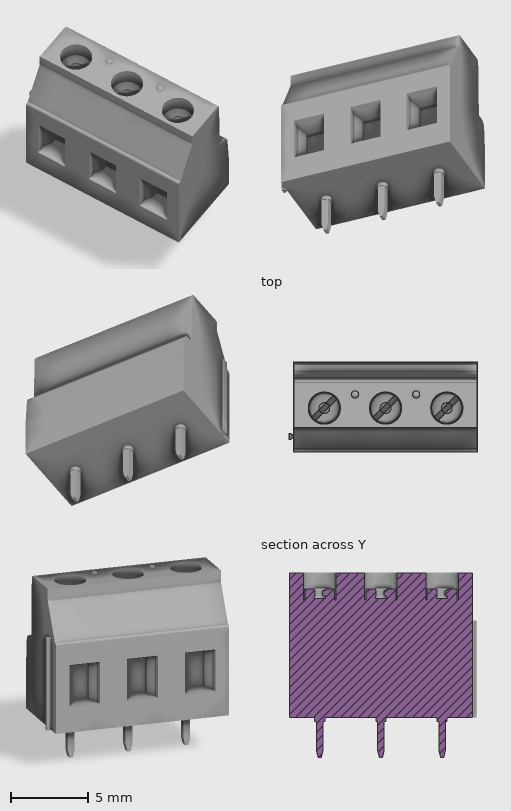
import cadquery as cq

POLES = 3
PITCH = 3.96
LENGTH = POLES * PITCH
POLE_Y = 2.85
pole_positions = [(i + 0.5) * PITCH for i in range(POLES)]
pole_borders = [i * PITCH for i in range(1, POLES)]

DEPTH = 5.82
HEIGHT = 9.37
FRONT_LEDGE_Y = 0.2
FRONT_LEDGE_Z = 6.15
FRONT_FILLET = 0.17
TOP_FRONT_Y = 1.58
TOP_FRONT_Z = 8.57
TOP_BACK_Y = 4.67
TOP_BACK_FILLET = 0.18
BACK_STEP_Y = 4.79
BACK_STEP_Z = 5.11
BACK_SHOULDER_Y = 5.625
BACK_SHOULDER_FILLET = 0.43
BACK_DRAFT_START_Z = 2.7

RIB_PROJECTION = 0.3
RIB_WIDTH = 0.38
RIB_NECK_WIDTH = 0.16
RIB_NECK_LENGTH = 0.075
RIB_FLARE = (RIB_WIDTH - RIB_NECK_WIDTH) / 2
RIB_HEIGHT = 6.26
RIB_Y = 1.02

ENTRY_WIDTH = 2.12
ENTRY_FLOOR_Z = 1.71
ENTRY_TOP_Z = 4.58
ENTRY_INNER_TOP_Z = 4.13
ENTRY_MOUTH_DEPTH = 0.58
ENTRY_BEND_DEPTH = 0.71
ENTRY_BEND_INSET = 0.11
ENTRY_THROAT_DEPTH = 1.14
ENTRY_THROAT_INSET = 0.35
ENTRY_SLOPE_DEPTH = 1.2
ENTRY_DEPTH = 1.5

WELL_DIAMETER = 2.08
WELL_DEPTH = 1.03
HEAD_DIAMETER = 1.97
HEAD_HEIGHT = 0.7
SLOT_WIDTH = 0.34
SLOT_DEPTH = 0.5
SLOT_ANGLE = 45
HEAD_DIMPLE_DIAMETER = 0.7
HEAD_DIMPLE_DEPTH = 0.1

DOME_RADIUS = 0.25
DOME_HEIGHT = 0.15
DOME_Y = 3.73

COLLAR_DIAMETER = 0.7
COLLAR_HEIGHT = 0.26
PIN_WIDTH_X = 0.46
PIN_WIDTH_Y = 0.5
PIN_LENGTH = 2.6
PIN_TAPER_LENGTH = 0.5
PIN_TIP_WIDTH = 0.22


def make_housing():
    """Side profile extruded along the row, with its long edges rounded."""
    body = (
        cq.Workplane("YZ")
        .moveTo(0, 0)
        .lineTo(0, FRONT_LEDGE_Z)
        .lineTo(FRONT_LEDGE_Y, FRONT_LEDGE_Z)
        .lineTo(TOP_FRONT_Y, TOP_FRONT_Z)
        .lineTo(TOP_FRONT_Y, HEIGHT)
        .lineTo(TOP_BACK_Y, HEIGHT)
        .lineTo(BACK_STEP_Y, BACK_STEP_Z)
        .lineTo(BACK_SHOULDER_Y, BACK_STEP_Z)
        .lineTo(DEPTH, BACK_DRAFT_START_Z)
        .lineTo(DEPTH, 0)
        .close()
        .extrude(LENGTH)
    )
    rounded_edges = (
        (0, FRONT_LEDGE_Z, FRONT_FILLET),
        (TOP_BACK_Y, HEIGHT, TOP_BACK_FILLET),
        (BACK_SHOULDER_Y, BACK_STEP_Z, BACK_SHOULDER_FILLET),
    )
    for y, z, radius in rounded_edges:
        edge = cq.selectors.NearestToPointSelector((LENGTH / 2, y, z))
        body = body.edges("|X").edges(edge).fillet(radius)
    return body


def make_rib():
    """Dovetail rib standing out from the X = 0 end face."""
    half_neck = RIB_NECK_WIDTH / 2
    half_width = RIB_WIDTH / 2
    flare_end = RIB_NECK_LENGTH + RIB_FLARE
    return (
        cq.Workplane("XY")
        .moveTo(0, RIB_Y - half_neck)
        .lineTo(-RIB_NECK_LENGTH, RIB_Y - half_neck)
        .lineTo(-flare_end, RIB_Y - half_width)
        .lineTo(-RIB_PROJECTION, RIB_Y - half_width)
        .lineTo(-RIB_PROJECTION, RIB_Y + half_width)
        .lineTo(-flare_end, RIB_Y + half_width)
        .lineTo(-RIB_NECK_LENGTH, RIB_Y + half_neck)
        .lineTo(0, RIB_Y + half_neck)
        .close()
        .extrude(RIB_HEIGHT)
    )


def make_wire_entry(x):
    """Funnel-shaped cavity: the side walls and the ceiling close in with depth."""
    half_mouth = ENTRY_WIDTH / 2
    half_bend = half_mouth - ENTRY_BEND_INSET
    half_throat = half_mouth - ENTRY_THROAT_INSET
    plan = (
        cq.Workplane("XY", origin=(x, 0, 0))
        .moveTo(-half_mouth, 0)
        .lineTo(-half_mouth, ENTRY_MOUTH_DEPTH)
        .lineTo(-half_bend, ENTRY_BEND_DEPTH)
        .lineTo(-half_throat, ENTRY_THROAT_DEPTH)
        .lineTo(-half_throat, ENTRY_DEPTH)
        .lineTo(half_throat, ENTRY_DEPTH)
        .lineTo(half_throat, ENTRY_THROAT_DEPTH)
        .lineTo(half_bend, ENTRY_BEND_DEPTH)
        .lineTo(half_mouth, ENTRY_MOUTH_DEPTH)
        .lineTo(half_mouth, 0)
        .close()
        .extrude(HEIGHT)
    )
    side = (
        cq.Workplane("YZ", origin=(x - half_mouth, 0, 0))
        .moveTo(0, ENTRY_FLOOR_Z)
        .lineTo(0, ENTRY_TOP_Z)
        .lineTo(ENTRY_SLOPE_DEPTH, ENTRY_INNER_TOP_Z)
        .lineTo(ENTRY_DEPTH, ENTRY_INNER_TOP_Z)
        .lineTo(ENTRY_DEPTH, ENTRY_FLOOR_Z)
        .close()
        .extrude(ENTRY_WIDTH)
    )
    return plan.intersect(side)


def make_screw_well(x):
    """Round well, leaving a slotted screw head, dimpled on its top and in its slot."""
    head_top = HEIGHT - WELL_DEPTH
    head_base = head_top - HEAD_HEIGHT
    well = (
        cq.Workplane("XY", origin=(x, POLE_Y, head_base))
        .circle(WELL_DIAMETER / 2)
        .extrude(HEIGHT - head_base)
    )
    head = (
        cq.Workplane("XY", origin=(x, POLE_Y, head_base))
        .circle(HEAD_DIAMETER / 2)
        .extrude(HEAD_HEIGHT)
    )
    slot = (
        cq.Workplane("XY", origin=(x, POLE_Y, head_top - SLOT_DEPTH))
        .transformed(rotate=(0, 0, SLOT_ANGLE))
        .rect(WELL_DIAMETER, SLOT_WIDTH)
        .extrude(SLOT_DEPTH)
    )
    head = head.cut(slot)
    for floor_z in (head_top, head_top - SLOT_DEPTH):
        dimple = (
            cq.Workplane("XY", origin=(x, POLE_Y, floor_z))
            .circle(HEAD_DIMPLE_DIAMETER / 2)
            .extrude(-HEAD_DIMPLE_DEPTH)
        )
        head = head.cut(dimple)
    return well.cut(head)


def make_dome(x):
    """Ball sunk into the top face so that only its cap stands out."""
    ball_z = HEIGHT + DOME_HEIGHT - DOME_RADIUS
    return cq.Workplane("XY", origin=(x, DOME_Y, ball_z)).sphere(DOME_RADIUS)


def make_pin(x):
    """Rectangular pin below a round collar, narrowing in X towards its tip."""
    taper_z = PIN_TAPER_LENGTH - PIN_LENGTH
    half_width = PIN_WIDTH_X / 2
    half_tip = PIN_TIP_WIDTH / 2
    collar = (
        cq.Workplane("XY", origin=(x, POLE_Y, 0))
        .circle(COLLAR_DIAMETER / 2)
        .extrude(-COLLAR_HEIGHT)
    )
    blade = (
        cq.Workplane("XZ", origin=(x, POLE_Y, 0))
        .moveTo(-half_width, 0)
        .lineTo(-half_width, taper_z)
        .lineTo(-half_tip, -PIN_LENGTH)
        .lineTo(half_tip, -PIN_LENGTH)
        .lineTo(half_width, taper_z)
        .lineTo(half_width, 0)
        .close()
        .extrude(PIN_WIDTH_Y / 2, both=True)
    )
    return collar.union(blade)


result = make_housing().union(make_rib())
for pole_x in pole_positions:
    result = result.cut(make_wire_entry(pole_x))
    result = result.cut(make_screw_well(pole_x))
    result = result.union(make_pin(pole_x))
for border_x in pole_borders:
    result = result.union(make_dome(border_x))